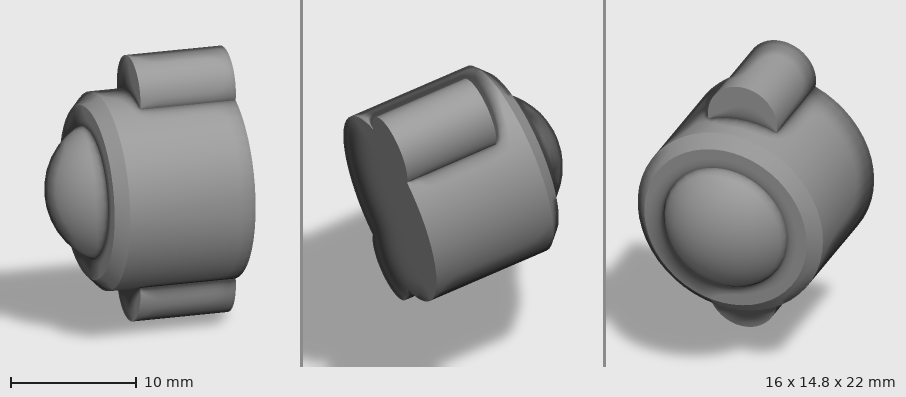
import cadquery as cq

overall_height = 21.98
overall_depth = 14.77

housing_diameter = 16.0
housing_length = 11.5
rim_chamfer = 1.0

lug_radius = (overall_height - housing_diameter) / 2
lug_length = 8.0
lug_offset = housing_diameter / 2

ball_radius = 6.0
ball_center_y = ball_radius - overall_depth


def rod_from_back(radius, length, z=0):
    """Cylinder along Y, running from the back face towards -Y."""
    return cq.Workplane("XZ").center(0, z).circle(radius).extrude(length)


def make_ball():
    return cq.Workplane("XY").sphere(ball_radius).translate((0, ball_center_y, 0))


def make_housing():
    body = rod_from_back(housing_diameter / 2, housing_length)
    body = body.faces("<Y").edges().chamfer(rim_chamfer)
    for side in (-1, 1):
        body = body.union(rod_from_back(lug_radius, lug_length, side * lug_offset))
    return body.cut(make_ball())


housing = make_housing()
ball = make_ball()

result = cq.Compound.makeCompound([housing.val(), ball.val()])